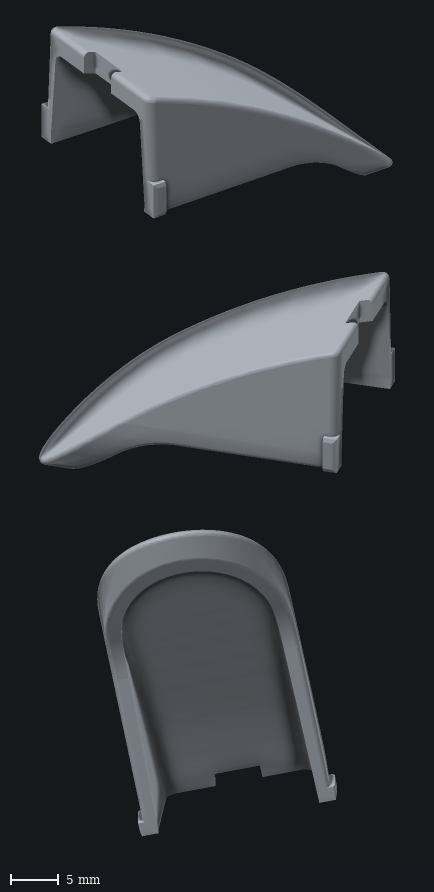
import cadquery as cq
import math

length = 35.22
height = 22.5
tab_span = 21.0
margin = 7.05
block_top_z = height + margin
pick_gap = 0.35

arch_pick = cq.selectors.BoxSelector((-3.17, 7.05, 8.8), (3.17, 21.13, 21.13))

half_width = 9.95
top_half_width = 9.3
draft_start_z = 10.65
corner_radius = 1.02
top_edge_radius = 0.53
foot_radius = 0.5

arch_front_z = 22.68
arch_mid_y = 15.15
arch_mid_z = 16.35
arch_tip_z = 0.75
foot_z = 8.7
ramp_top_y = 21.38
ramp_bottom_y = 32.15
ramp_blend_radius = 10.92

roof_inset = 2.75
roof_shift = 0.9
cavity_front_half = 8.5
cavity_rear_half = 7.75
cavity_shoulder_z = 10.85
cavity_bottom_z = 0.9
cavity_draft = 5.0
cavity_fillet = 1.13

notch_width = 5.0
notch_depth = 1.48

tab_inner_x = 8.1
tab_top_z = 12.68
tab_depth = 1.48
tab_bevel_x = 0.18
tab_bevel_length = 0.42


def arch_circle():
    """Centre (y, z) and radius of the circle through the three points of the arched top."""
    mid_square = arch_mid_y**2 + arch_mid_z**2 - arch_front_z**2
    tip_square = length**2 + arch_tip_z**2 - arch_front_z**2
    mid_drop = arch_mid_z - arch_front_z
    tip_drop = arch_tip_z - arch_front_z
    determinant = 2 * (arch_mid_y * tip_drop - length * mid_drop)
    center_y = (mid_square * tip_drop - tip_square * mid_drop) / determinant
    center_z = (arch_mid_y * tip_square - length * mid_square) / determinant
    return center_y, center_z, math.hypot(center_y, arch_front_z - center_z)


def arch_cylinder(inset):
    """Solid cylinder along X whose upper surface is the arched top moved in by the inset."""
    center_y, center_z, radius = arch_circle()
    return (
        cq.Workplane("YZ")
        .center(center_y, center_z)
        .circle(radius - inset)
        .extrude(tab_span, both=True)
    )


def barrel_section(workplane, shoulder_half, shoulder_z, roof_half, roof_z, bottom_z):
    """Upright section: drafted straight sides standing on a round bottom."""
    return (
        workplane
        .moveTo(-roof_half, roof_z)
        .lineTo(roof_half, roof_z)
        .lineTo(shoulder_half, shoulder_z)
        .threePointArc((0, bottom_z), (-shoulder_half, shoulder_z))
        .close()
    )


def side_profile():
    """Everything above the foot and the ramp, ignoring the width."""
    bend = (ramp_top_y, foot_z)
    bend_box = cq.selectors.BoxSelector(
        (-margin, bend[0] - pick_gap, bend[1] - pick_gap),
        (margin, bend[0] + pick_gap, bend[1] + pick_gap),
    )
    return (
        cq.Workplane("YZ")
        .polyline([
            (0, foot_z),
            bend,
            (ramp_bottom_y, 0),
            (length, 0),
            (length, block_top_z),
            (0, block_top_z),
        ])
        .close()
        .extrude(tab_span, both=True)
        .edges(bend_box)
        .fillet(ramp_blend_radius)
    )


def outer_body():
    """Barrel under the arch, with rounded rims, cut to the side profile."""
    draft_slope = (half_width - top_half_width) / (height - draft_start_z)
    roof_half = half_width - draft_slope * (block_top_z - draft_start_z)
    barrel = barrel_section(
        cq.Workplane("XZ"), half_width, draft_start_z, roof_half, block_top_z, 0
    ).extrude(-length - margin)
    corners = cq.selectors.BoxSelector(
        (-tab_span, -pick_gap, draft_start_z + pick_gap),
        (tab_span, pick_gap, block_top_z - pick_gap),
    )
    barrel = barrel.edges(corners).fillet(corner_radius)
    body = barrel.intersect(arch_cylinder(0))
    arch_edges = body.faces(arch_pick).edges()
    body = arch_edges.fillet(top_edge_radius)
    body = body.intersect(side_profile())
    foot_rim = cq.selectors.BoxSelector(
        (-tab_span, pick_gap, -pick_gap),
        (tab_span, ramp_bottom_y, foot_z + pick_gap),
    )
    return body.edges(foot_rim).fillet(foot_radius)


def cavity():
    """Hollow narrowing toward the tip, with a rounded arched ceiling."""
    draft = math.tan(math.radians(cavity_draft))
    roof_drop = draft * (block_top_z - cavity_shoulder_z)
    sections = barrel_section(
        cq.Workplane("XZ"), cavity_front_half, cavity_shoulder_z,
        cavity_front_half - roof_drop, block_top_z, cavity_bottom_z,
    ).workplane(offset=-length)
    blank = barrel_section(
        sections, cavity_rear_half, cavity_shoulder_z,
        cavity_rear_half - roof_drop, block_top_z, cavity_bottom_z,
    ).loft(ruled=True)
    blank = blank.intersect(arch_cylinder(roof_inset).translate((0, roof_shift, 0)))
    ceiling = blank.faces(arch_pick)
    return ceiling.edges("not <Y").fillet(cavity_fillet)


def notch():
    return (
        cq.Workplane("XY")
        .box(notch_width, 2 * notch_depth, height)
        .translate((0, 0, height))
    )


def right_tab():
    block = cq.Workplane("XY").box(
        tab_span / 2 - tab_inner_x, tab_depth, tab_top_z - foot_z, centered=False
    )
    block = block.faces(">X").edges("not >Y").chamfer(tab_bevel_length, tab_bevel_x)
    return block.translate((tab_inner_x, 0, foot_z))


tab = right_tab()
result = outer_body().union(tab).union(tab.mirror("YZ")).cut(cavity()).cut(notch())